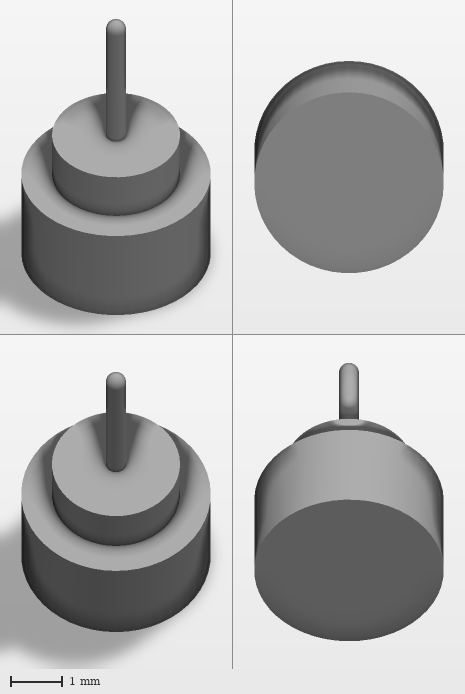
import cadquery as cq

total_height = 6.0
body_diameter = 3.7
body_height = 2.05
collar_diameter = 2.5
collar_height = 1.0
seal_diameter = 1.95
pin_diameter = 0.39

collar_top = body_height + collar_height
pin_radius = pin_diameter / 2
dome_base = total_height - pin_radius


def cylinder(diameter, bottom, top):
    """Solid cylinder on the Z axis between two heights."""
    return cq.Workplane("XY").workplane(offset=bottom).circle(diameter / 2).extrude(top - bottom)


def make_collar():
    """Collar around a flush central seal, with the seal's outline kept as an edge."""
    seal = cylinder(seal_diameter, body_height, collar_top)
    ring = cylinder(collar_diameter, body_height, collar_top).cut(seal)
    return ring.union(seal, clean=False)


def make_pin():
    """Thin central pin, rising from the seal, with a hemispherical tip."""
    shank = cylinder(pin_diameter, collar_top, dome_base)
    tip = cq.Workplane("XY").sphere(pin_radius).translate((0, 0, dome_base))
    return shank.union(tip)


body = cylinder(body_diameter, 0, body_height)
result = body.union(make_collar(), clean=False).union(make_pin(), clean=False)